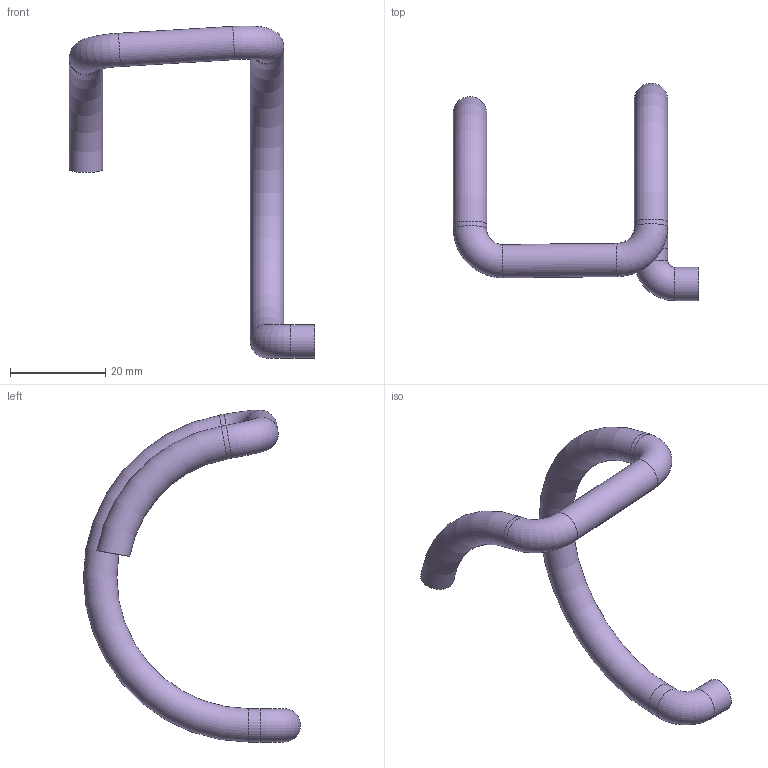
import cadquery as cq
import math

ROD_DIAMETER = 7.0
LONG_ARC_RADIUS = 31.0
STUB_LENGTH = 5.0
STUB_BEND_RADIUS = 5.0
LOWER_STRAIGHT = 2.5
UPPER_STRAIGHT = 1.0
CROSSBAR_BEND_RADIUS = 7.0
CROSSBAR_LENGTH = 24.0
CROSSBAR_TILT = math.radians(3.5)
ARC_TOP_ANGLE = math.radians(80.0)
ARC_BOTTOM_ANGLE = math.radians(-90.0)
SHORT_ARC_END_ANGLE = math.radians(10.0)

arm_spacing = CROSSBAR_LENGTH + 2 * CROSSBAR_BEND_RADIUS
short_arm_x = -arm_spacing * math.cos(CROSSBAR_TILT)
short_arc_radius = LONG_ARC_RADIUS - arm_spacing * math.sin(CROSSBAR_TILT)

x_direction = cq.Vector(1, 0, 0)
y_direction = cq.Vector(0, 1, 0)
arc_top_outward = cq.Vector(0, math.cos(ARC_TOP_ANGLE), math.sin(ARC_TOP_ANGLE))
arc_top_tangent = cq.Vector(0, -math.sin(ARC_TOP_ANGLE), math.cos(ARC_TOP_ANGLE))
crossbar_direction = x_direction * -math.cos(CROSSBAR_TILT) - arc_top_outward * math.sin(CROSSBAR_TILT)


def straight(start, direction, length):
    """Straight centreline edge leaving start along a unit direction."""
    return cq.Edge.makeLine(start, start + direction * length)


def right_angle_bend(start, direction_in, direction_out, radius):
    """Quarter-circle centreline edge turning from one unit direction to another."""
    end = start + (direction_in + direction_out) * radius
    centre = start + direction_out * radius
    middle = centre + (direction_in - direction_out).normalized() * radius
    return cq.Edge.makeThreePointArc(start, middle, end)


def arm_arc(x, radius, start_angle, end_angle):
    """Centreline arc about the X axis, with angles measured from +Y towards +Z."""
    def point(angle):
        return cq.Vector(x, radius * math.cos(angle), radius * math.sin(angle))

    middle_angle = (start_angle + end_angle) / 2
    return cq.Edge.makeThreePointArc(point(start_angle), point(middle_angle), point(end_angle))


def build_centreline():
    """Edges of the rod's centreline, in order from the stub to the free end."""
    stub_end = cq.Vector(
        STUB_LENGTH + STUB_BEND_RADIUS,
        -(LOWER_STRAIGHT + STUB_BEND_RADIUS),
        -LONG_ARC_RADIUS,
    )
    edges = [straight(stub_end, x_direction * -1, STUB_LENGTH)]
    edges.append(right_angle_bend(edges[-1].endPoint(), x_direction * -1, y_direction, STUB_BEND_RADIUS))
    edges.append(straight(edges[-1].endPoint(), y_direction, LOWER_STRAIGHT))
    edges.append(arm_arc(0, LONG_ARC_RADIUS, ARC_BOTTOM_ANGLE, ARC_TOP_ANGLE))
    edges.append(straight(edges[-1].endPoint(), arc_top_tangent, UPPER_STRAIGHT))
    edges.append(
        right_angle_bend(edges[-1].endPoint(), arc_top_tangent, crossbar_direction, CROSSBAR_BEND_RADIUS)
    )
    edges.append(straight(edges[-1].endPoint(), crossbar_direction, CROSSBAR_LENGTH))
    edges.append(
        right_angle_bend(edges[-1].endPoint(), crossbar_direction, arc_top_tangent * -1, CROSSBAR_BEND_RADIUS)
    )
    edges.append(straight(edges[-1].endPoint(), arc_top_tangent * -1, UPPER_STRAIGHT))
    edges.append(arm_arc(short_arm_x, short_arc_radius, ARC_TOP_ANGLE, SHORT_ARC_END_ANGLE))
    return edges


def sweep_rod(edges):
    """Sweep the round section along the centreline, starting at the stub's end face."""
    path = cq.Wire.assembleEdges(edges)
    section_plane = cq.Plane(origin=edges[0].startPoint(), xDir=y_direction, normal=x_direction * -1)
    return cq.Workplane(section_plane).circle(ROD_DIAMETER / 2).sweep(cq.Workplane(path))


result = sweep_rod(build_centreline())